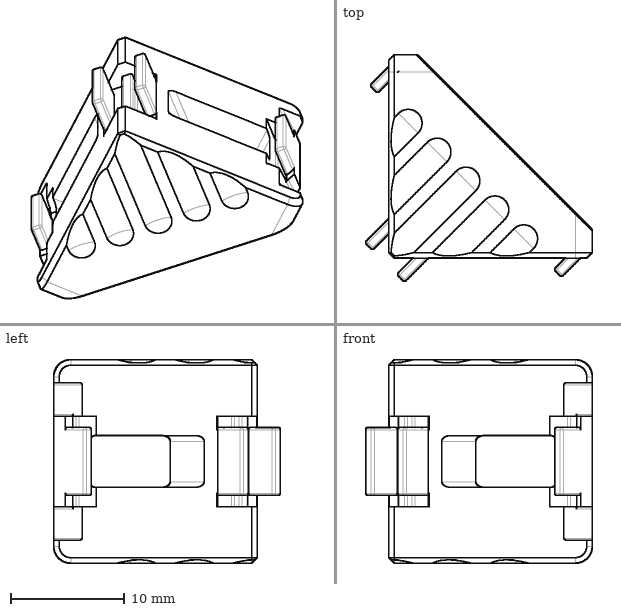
import cadquery as cq
import math


SIZE = 18.0
END_WIDTH = 2.55
END_RADIUS = 1.5
OUTER_CHAMFER = 0.5
BACK_CHAMFER = 0.1

WALL = 3.0
CHEEK = 1.5
SLOT_START = 4.69
SLOT_END = 14.8
SLOT_HEIGHT = 4.55
SLOT_RADIUS = 0.5

GROOVE_COUNT = 5
GROOVE_PITCH = 3.6
GROOVE_WIDTH = 2.45
GROOVE_SINK = 0.3
GROOVE_END = 9.65

CLIP_THICKNESS = 0.98
CLIP_HEIGHT = 6.01
CLIP_RADIUS = 0.2
CORNER_CLIP_SIDE = 1.5
CORNER_CLIP_TIP = -0.52
END_CLIP_SIDE = 11.0
END_CLIP_TIP = 9.6
CLIP_ROOT = 0.6

NOTCH_HEIGHT = 7.98
NOTCH_RADIUS = 0.17
CORNER_NOTCH_FLOOR = 2.57
RIB_WIDTH = 1.0
RIB_FRONT = 1.62
END_NOTCH_FLOOR = 12.42
END_NOTCH_SIDE = 10.06
END_NOTCH_WIDTH = 1.02
PAD_FRONT = 11.98
PAD_SLANT_ROOT = 12.85

RELIEF_START = 15.47
RELIEF_ANGLE = 40.0
RELIEF_HEIGHT = 13.95
RELIEF_RADIUS = 0.2

BACK_SUM = SIZE + END_WIDTH
END_CLIP_OUTER = END_CLIP_SIDE + CLIP_THICKNESS
CORNER_CLIP_OUTER = CORNER_CLIP_SIDE + CLIP_THICKNESS


def at(depth, side):
    """Plan position of a point given along and across the bisector."""
    return ((depth + side) / math.sqrt(2), (depth - side) / math.sqrt(2))


def prism(points, height):
    """Upright prism centred on z = 0."""
    return cq.Workplane("XY").polyline(points).close().extrude(height / 2, both=True)


def strip(depths, sides, height):
    """Upright block lined up with the bisector."""
    (near, far), (inner, outer) = depths, sides
    return prism([at(near, inner), at(near, outer), at(far, outer), at(far, inner)], height)


def mirrored(shape):
    """The shape's mirror image in the plane x = y."""
    return shape.rotate((0, 0, 0), (1, 1, 0), 180).mirror("XY")


def body():
    """Triangular block with rounded leg ends and chamfered outer walls and back."""
    outline = [(0, 0), (SIZE, 0), (SIZE, END_WIDTH), (END_WIDTH, SIZE), (0, SIZE)]
    solid = prism(outline, SIZE)
    solid = solid.faces(">X").edges("|Y").fillet(END_RADIUS)
    solid = solid.faces(">Y").edges("|X").fillet(END_RADIUS)
    solid = solid.faces("<X or <Y").edges().chamfer(OUTER_CHAMFER)
    back = cq.selectors.DirectionMinMaxSelector(cq.Vector(1, 1, 0))
    return solid.faces(back).edges().chamfer(BACK_CHAMFER)


def hollow():
    """Triangular space behind the walls, open at the back."""
    reach = BACK_SUM - WALL
    return prism([(WALL, WALL), (reach, WALL), (WALL, reach)], SIZE - 2 * CHEEK)


def screw_slot():
    """Slot through the wall on y = 0; its corner-side end follows the bisector."""
    plan = [(SLOT_START, 0), (SLOT_END, 0), (SLOT_END, WALL), (SLOT_START + WALL, WALL)]
    return prism(plan, SLOT_HEIGHT).edges("#Z").edges("not(|X)").fillet(SLOT_RADIUS)


def groove(side):
    """Shallow round-bottomed groove in the top face with a domed inner end."""
    radius = (GROOVE_WIDTH ** 2 / 4 + GROOVE_SINK ** 2) / (2 * GROOVE_SINK)
    axis_height = SIZE / 2 - GROOVE_SINK + radius
    x, y = at(GROOVE_END, side)
    start = cq.Plane((x, y, axis_height), (1, -1, 0), (-1, -1, 0))
    run = cq.Workplane(start).circle(radius).extrude(SIZE)
    return run.union(cq.Workplane("XY").sphere(radius).translate((x, y, axis_height)))


def clip(tip, root, side):
    """Rounded bar from its tip to the depth where it is rooted in the body."""
    outer = side + CLIP_THICKNESS
    return strip((tip, root + CLIP_ROOT), (side, outer), CLIP_HEIGHT).edges().fillet(CLIP_RADIUS)


def corner_notch():
    """Opening around both corner clips, with a rib left standing between them."""
    outer = CORNER_CLIP_OUTER
    opening = strip((-SIZE, CORNER_NOTCH_FLOOR), (-outer, outer), NOTCH_HEIGHT)
    half_rib = RIB_WIDTH / 2
    opening = opening.cut(strip((RIB_FRONT, SIZE), (-half_rib, half_rib), NOTCH_HEIGHT))
    beside_rib = cq.selectors.BoxSelector((half_rib, half_rib, -SIZE), (SIZE, SIZE, SIZE))
    return opening.edges("|Z").edges(beside_rib).fillet(NOTCH_RADIUS)


def slanted_cut(height):
    """Space beyond the slanted relief face, with rounded inner corners."""
    slope = math.radians(RELIEF_ANGLE)
    along = cq.Vector(math.cos(slope), math.sin(slope), 0)
    inward = cq.Vector(-math.sin(slope), math.cos(slope), 0)
    near = (RELIEF_START - SIZE * along.x, -SIZE * along.y)
    far = (RELIEF_START + SIZE * along.x, SIZE * along.y)
    space = prism([near, (far[0], near[1]), far], height)
    face = space.faces(cq.selectors.DirectionMinMaxSelector(inward))
    return face.edges(cq.selectors.ParallelDirSelector(along)).fillet(RELIEF_RADIUS)


def end_relief(pad_root):
    """Cut across the end of the X leg, less the pad left standing behind the clip.

    The pad's front runs from pad_root, level with the notch's side, to PAD_FRONT at its outer face.
    """
    pad = prism(
        [
            at(pad_root, END_NOTCH_SIDE),
            at(PAD_FRONT, END_CLIP_OUTER),
            at(2 * SIZE, END_CLIP_OUTER),
            at(2 * SIZE, END_NOTCH_SIDE),
        ],
        RELIEF_HEIGHT,
    )
    space_above = (RELIEF_HEIGHT - NOTCH_HEIGHT) / 2
    above = slanted_cut(space_above).translate((0, 0, (NOTCH_HEIGHT + space_above) / 2))
    pad = pad.cut(above).cut(above.mirror("XY"))
    return slanted_cut(RELIEF_HEIGHT).cut(pad)


def end_notch():
    """Gap on the inner side of an end clip."""
    outer = END_NOTCH_SIDE + END_NOTCH_WIDTH
    gap = strip((0, END_NOTCH_FLOOR), (END_NOTCH_SIDE, outer), NOTCH_HEIGHT)
    x, y = at(END_NOTCH_FLOOR, END_NOTCH_SIDE)
    return gap.edges(cq.selectors.NearestToPointSelector((x, y, 0))).fillet(NOTCH_RADIUS)


result = body().cut(hollow())

for number in range(GROOVE_COUNT):
    top_groove = groove((number - (GROOVE_COUNT - 1) / 2) * GROOVE_PITCH)
    result = result.cut(top_groove).cut(top_groove.mirror("XY"))

result = result.cut(corner_notch())

slot = screw_slot()
notch = end_notch()
corner_clip = clip(CORNER_CLIP_TIP, CORNER_NOTCH_FLOOR, CORNER_CLIP_SIDE)
end_clip = clip(END_CLIP_TIP, END_NOTCH_FLOOR, END_CLIP_SIDE)

result = result.cut(slot).cut(notch).cut(end_relief(PAD_SLANT_ROOT))
result = result.cut(mirrored(slot)).cut(mirrored(notch)).cut(mirrored(end_relief(PAD_FRONT)))
for bar in (corner_clip, end_clip):
    result = result.union(bar).union(mirrored(bar))